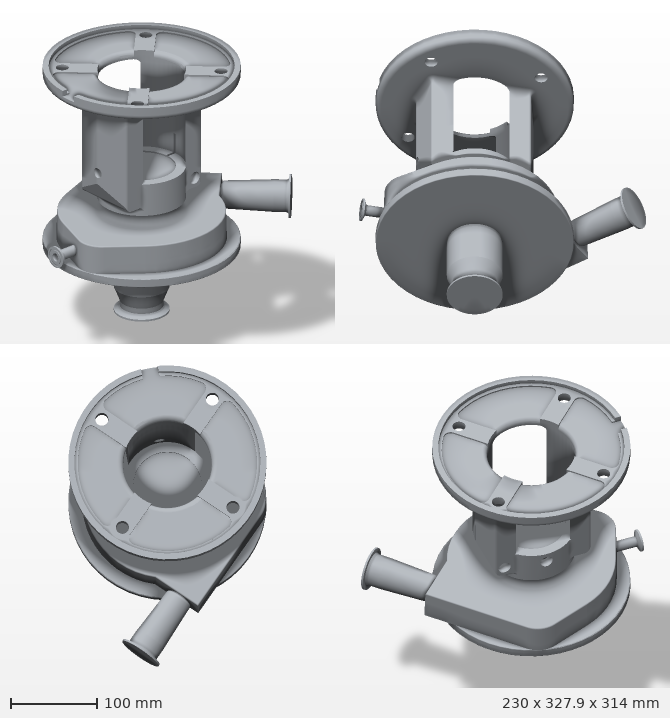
import cadquery as cq
import math

margin = 3.3
tolerance = 0.03

total_height = 314.0
plate_thickness = 16.5
pocket_floor_thickness = 9.2
pocket_depth = 2.0
plate_bottom = total_height - plate_thickness
pocket_level = plate_bottom + pocket_floor_thickness
pad_level = pocket_level + pocket_depth
collar_top = 185.3
pillar_bottom = 156.0
collar_bottom = 145.0
volute_top = 129.0
flange_top = 94.0
flange_bottom = 83.3
outlet_level = 112.8
drain_level = 110.2

plate_radius = 230.0 / 2
plate_edge_round = 6.2
rim_inner_radius = 108.0
bore_radius = 102.5 / 2
bore_mouth_round = 6.5
pocket_outer_radius = 104.0
pocket_corner_round = 8.2
spoke_width = 23.5
spoke_angle = 45
spoke_count = 4
bolt_circle_radius = 92.0
bolt_hole_diameter = 15.0
notch_width = 19.7

pillar_half_width = 39.0
pillar_corner_y = 58.7
pillar_ridge_y = 70.0
pillar_corner_round = 3.3
pillar_ridge_round = 9.5
pillar_root_round = 6.0
pillar_toe_round = 8.2
collar_joint_round = 4.5
slope_top = 184.3
slope_rise_per_run = 2.0
ridge_hole_diameter = 12.5
ridge_hole_level = 197.7

collar_recess_radius = 39.7
collar_recess_depth = 2.0
neck_radius = 43.5
neck_flare = 10.2
clamp_slit_width = 3.5
clamp_slit_top = 210.0
clamp_hole_diameter = 15.0
clamp_hole_y = 47.5
clamp_hole_level = 168.0
lock_hole_diameter = 15.0
lock_hole_level = 172.8

volute_angle = 45
volute_radius = 99.0
volute_flat_angle = 24.5
volute_side_angle = 5.6
volute_corner_round = 30.2
volute_wall = 104.3
outlet_face = 89.0
volute_edge_round = 1.5
volute_draft = 1.7

flange_edge_round = 1.0
outlet_offset = 78.5
outlet_end = 169.5
outlet_base_radius = 16.5
outlet_pipe_radius = 19.0
outlet_base_round = 4.0
outlet_taper_length = 61.0
outlet_cone_width = 1.3
outlet_ferrule_radius = 25.5
suction_body_radius = 32.5
suction_shoulder_radius = 32.0
suction_shoulder_level = 79.5
suction_taper_top = 31.0
suction_taper_bottom = 13.5
suction_pipe_radius = 50.8 / 2
suction_lip_level = 6.5
suction_lip_width = 1.3
suction_ferrule_radius = 32.5
drain_end = 134.5
drain_pipe_radius = 6.2
drain_bore_radius = 5.0
drain_bore_depth = 32.8
drain_ferrule_radius = 13.0
drain_groove_inner_radius = 8.5
drain_groove_outer_radius = 10.8
drain_groove_depth = 1.0
ferrule_rim = 2.3
ferrule_cone = 3.0


def cylinder(radius, bottom, top):
    return cq.Workplane("XY").workplane(offset=bottom).circle(radius).extrude(top - bottom)


def revolve_outline(outline):
    """Turn a radius-against-height outline about its own vertical axis."""
    return outline.close().revolve(360, (0, 0, 0), (0, 1, 0))


def edge_radius(edge):
    """Distance of an edge's centre from the main axis."""
    return math.hypot(edge.Center().x, edge.Center().y)


def plate_and_pillars():
    """Plate blank with two mirrored pillars hanging from it, joined to the collar."""
    body = cylinder(plate_radius, plate_bottom, total_height)
    body = body.faces("<Z").edges().fillet(plate_edge_round)
    for side in (-1, 1):
        body = body.union(pillar(side))
    body = body.cut(cylinder(bore_radius, pillar_bottom, total_height))
    body = round_pillar_roots(body)
    body = body.union(cylinder(bore_radius, collar_bottom, collar_top))
    return round_collar_joint(body)


def pillar(side):
    """Pillar with a roofed outer side and a toe cut back by a sloping plane."""
    blank = (
        cq.Workplane("XY").workplane(offset=pillar_bottom)
        .moveTo(-pillar_half_width, 0)
        .lineTo(-pillar_half_width, side * pillar_corner_y)
        .lineTo(0, side * pillar_ridge_y)
        .lineTo(pillar_half_width, side * pillar_corner_y)
        .lineTo(pillar_half_width, 0)
        .close()
        .extrude(plate_bottom - pillar_bottom)
    )
    outermost = ">Y" if side > 0 else "<Y"
    blank = blank.edges("|Z").edges(outermost).fillet(pillar_ridge_round)
    corner = cq.selectors.BoxSelector(
        (-pillar_half_width - margin, side * (pillar_corner_y - margin), pillar_bottom),
        (pillar_half_width + margin, side * (pillar_corner_y + margin), plate_bottom),
    )
    blank = blank.edges("|Z").edges(corner).fillet(pillar_corner_round)
    slope_height = slope_top - pillar_bottom
    slope_y = pillar_ridge_y - slope_height / slope_rise_per_run
    wedge = (
        cq.Workplane("YZ").workplane(offset=-pillar_half_width - margin)
        .moveTo(side * slope_y, pillar_bottom)
        .lineTo(side * pillar_ridge_y, slope_top)
        .lineTo(side * pillar_ridge_y, pillar_bottom)
        .close()
        .extrude(2 * (pillar_half_width + margin))
    )
    blank = blank.cut(wedge)
    return blank.faces("<Z").edges(outermost).fillet(pillar_toe_round)


def round_pillar_roots(body):
    """Concave rounds where the pillars leave the plate, outside the bore."""

    def is_root(edge):
        box = edge.BoundingBox()
        on_underside = max(abs(box.zmin - plate_bottom), abs(box.zmax - plate_bottom)) < tolerance
        on_one_pillar = box.ymin * box.ymax > 0
        return on_underside and on_one_pillar and edge_radius(edge) > bore_radius

    roots = [edge for edge in body.edges().vals() if is_root(edge)]
    return body.newObject(roots).fillet(pillar_root_round)


def round_collar_joint(body):
    """Concave rounds where the pillar sides and toes run into the collar."""

    def lies_on_collar(edge):
        points = edge.positions((0, 0.5, 1))
        return all(abs(math.hypot(point.x, point.y) - bore_radius) < tolerance for point in points)

    def is_joint(edge):
        box = edge.BoundingBox()
        above_toe = box.zmin > pillar_bottom - tolerance
        below_rim = box.zmin < collar_top - tolerance and box.zmax < collar_top + tolerance
        return above_toe and below_rim and lies_on_collar(edge)

    joints = [edge for edge in body.edges().vals() if is_joint(edge)]
    return body.newObject(joints).fillet(collar_joint_round)


def plate_top_recess():
    """Recess inside the rim, with four pockets left between diagonal spokes."""
    recess = cylinder(rim_inner_radius, pad_level, total_height)
    mouth_radius = bore_radius + bore_mouth_round
    pockets = revolve_outline(
        cq.Workplane("XZ")
        .moveTo(bore_radius - bore_mouth_round, pad_level)
        .lineTo(pocket_outer_radius, pad_level)
        .lineTo(pocket_outer_radius, pocket_level)
        .lineTo(mouth_radius, pocket_level)
        .radiusArc((bore_radius, pocket_level - bore_mouth_round), -bore_mouth_round)
        .lineTo(bore_radius - bore_mouth_round, pocket_level - bore_mouth_round)
    )
    for angle in (spoke_angle, spoke_angle + 90):
        spoke = (
            cq.Workplane("XY").box(2 * plate_radius, spoke_width, 2 * plate_bottom)
            .rotate((0, 0, 0), (0, 0, 1), angle)
            .translate((0, 0, plate_bottom))
        )
        pockets = pockets.cut(spoke)
    outer_corners = [
        edge for edge in pockets.edges("|Z").vals()
        if edge_radius(edge) > pocket_outer_radius - margin
    ]
    pockets = pockets.newObject(outer_corners).fillet(pocket_corner_round)
    notch_depth = total_height - pocket_level
    notch_start = pocket_outer_radius - margin
    notch_length = plate_radius - notch_start + margin
    notch = (
        cq.Workplane("XY")
        .box(notch_width, notch_length, notch_depth)
        .translate((0, -notch_start - notch_length / 2, pocket_level + notch_depth / 2))
    )
    return recess.union(pockets).union(notch)


def plate_bolt_holes():
    return (
        cq.Workplane("XY").workplane(offset=plate_bottom)
        .polarArray(bolt_circle_radius, spoke_angle, 360, spoke_count)
        .circle(bolt_hole_diameter / 2)
        .extrude(total_height - plate_bottom)
    )


def clamp_cuts():
    """Collar recess, clamping slit and the cross holes of collar and pillars."""
    cuts = cylinder(collar_recess_radius, collar_top - collar_recess_depth, collar_top)
    slit_depth = pillar_ridge_y - collar_recess_radius + margin
    slit_height = clamp_slit_top - collar_bottom
    slit = (
        cq.Workplane("XY")
        .box(clamp_slit_width, slit_depth, slit_height)
        .translate((0, collar_recess_radius + slit_depth / 2, collar_bottom + slit_height / 2))
    )
    clamp_hole = (
        cq.Workplane("YZ").center(clamp_hole_y, clamp_hole_level)
        .circle(clamp_hole_diameter / 2)
        .extrude(2 * pillar_half_width, both=True)
    )
    lock_hole = (
        cq.Workplane("YZ").workplane(offset=-bore_radius - margin)
        .center(0, lock_hole_level)
        .circle(lock_hole_diameter / 2)
        .extrude(bore_radius + margin - collar_recess_radius)
    )
    ridge_hole = (
        cq.Workplane("XZ").center(0, ridge_hole_level)
        .circle(ridge_hole_diameter / 2)
        .extrude(pillar_ridge_y + margin)
    )
    return cuts.union(slit).union(clamp_hole).union(lock_hole).union(ridge_hole)


def neck():
    """Neck under the collar, flaring out onto the casing with a concave round."""
    return revolve_outline(
        cq.Workplane("XZ")
        .moveTo(0, flange_top)
        .lineTo(neck_radius + neck_flare, flange_top)
        .lineTo(neck_radius + neck_flare, volute_top)
        .radiusArc((neck_radius, volute_top + neck_flare), neck_flare)
        .lineTo(neck_radius, collar_bottom)
        .lineTo(0, collar_bottom)
    )


def volute():
    """Drafted casing with a round nose between two flats and a square outlet block."""
    flat = math.radians(volute_flat_angle)
    side = math.radians(volute_side_angle)

    def on_arc(angle):
        return (volute_radius * math.cos(angle), volute_radius * math.sin(angle))

    nose = -math.pi
    flat_angle = nose + flat
    side_angle = -math.pi / 2 + side
    wall_corner_x = (volute_wall * math.sin(flat) - volute_radius) / math.cos(flat)
    half_gap = (side_angle - flat_angle) / 2
    middle = (side_angle + flat_angle) / 2
    corner_distance = volute_radius / math.cos(half_gap)
    side_corner = (corner_distance * math.cos(middle), corner_distance * math.sin(middle))
    outlet_angle = math.acos(outlet_face / volute_radius)

    casing = (
        cq.Workplane("XY").workplane(offset=flange_top)
        .moveTo(outlet_face, volute_wall)
        .lineTo(wall_corner_x, volute_wall)
        .lineTo(*on_arc(nose - flat))
        .threePointArc(on_arc(nose), on_arc(flat_angle))
        .lineTo(*side_corner)
        .lineTo(*on_arc(side_angle))
        .threePointArc(on_arc((side_angle + outlet_angle) / 2), on_arc(outlet_angle))
        .close()
        .extrude(volute_top - flange_top, taper=volute_draft)
    )
    corners = [
        edge for edge in casing.edges("not #Z").vals()
        if edge.Center().x < 0 and edge_radius(edge) > volute_radius + margin
    ]
    casing = casing.newObject(corners).fillet(volute_corner_round)
    casing = casing.faces(">Z").edges().fillet(volute_edge_round)
    return casing.rotate((0, 0, 0), (0, 0, 1), volute_angle)


def lower_flange():
    return cylinder(plate_radius, flange_bottom, flange_top).edges().fillet(flange_edge_round)


def suction_pipe():
    return revolve_outline(
        cq.Workplane("XZ")
        .moveTo(0, 0)
        .lineTo(suction_ferrule_radius, 0)
        .lineTo(suction_ferrule_radius, ferrule_rim)
        .lineTo(suction_pipe_radius + suction_lip_width, ferrule_rim + ferrule_cone)
        .lineTo(suction_pipe_radius, suction_lip_level)
        .lineTo(suction_pipe_radius, suction_taper_bottom)
        .lineTo(suction_body_radius, suction_taper_top)
        .lineTo(suction_body_radius, suction_shoulder_level)
        .lineTo(suction_shoulder_radius, suction_shoulder_level)
        .lineTo(suction_shoulder_radius, flange_top)
        .lineTo(0, flange_top)
    )


def outlet_pipe():
    """Slightly flared outlet pipe with a rounded foot and a clamp ferrule."""
    foot_top = outlet_face + outlet_base_round
    taper_end = outlet_face + outlet_taper_length
    rim_start = outlet_end - ferrule_rim
    pipe = revolve_outline(
        cq.Workplane("XY")
        .moveTo(0, 0)
        .lineTo(outlet_base_radius - outlet_base_round, 0)
        .lineTo(outlet_base_radius - outlet_base_round, outlet_face)
        .radiusArc((outlet_base_radius, foot_top), -outlet_base_round)
        .lineTo(outlet_pipe_radius, taper_end)
        .lineTo(outlet_pipe_radius, rim_start - ferrule_cone)
        .lineTo(outlet_pipe_radius + outlet_cone_width, rim_start)
        .lineTo(outlet_ferrule_radius, rim_start)
        .lineTo(outlet_ferrule_radius, outlet_end)
        .lineTo(0, outlet_end)
    )
    pipe = pipe.translate((-outlet_offset, 0, outlet_level))
    return pipe.rotate((0, 0, 0), (0, 0, 1), volute_angle - 90)


def drain_pipe():
    """Small drain pipe pointing along -Y, with a clamp ferrule."""
    rim_start = drain_end - ferrule_rim
    pipe = revolve_outline(
        cq.Workplane("XY")
        .moveTo(0, -volute_radius)
        .lineTo(drain_pipe_radius, -volute_radius)
        .lineTo(drain_pipe_radius, -rim_start + ferrule_cone)
        .lineTo(drain_ferrule_radius, -rim_start)
        .lineTo(drain_ferrule_radius, -drain_end)
        .lineTo(0, -drain_end)
    )
    face = cq.Workplane("XZ").workplane(offset=drain_end)
    bore = face.circle(drain_bore_radius).extrude(-drain_bore_depth)
    groove = (
        face.circle(drain_groove_outer_radius).circle(drain_groove_inner_radius)
        .extrude(-drain_groove_depth)
    )
    return pipe.cut(bore).cut(groove).translate((0, 0, drain_level))


result = plate_and_pillars()
result = result.cut(plate_top_recess()).cut(plate_bolt_holes()).cut(clamp_cuts())
for piece in (neck(), volute(), lower_flange(), suction_pipe(), outlet_pipe(), drain_pipe()):
    result = result.union(piece)